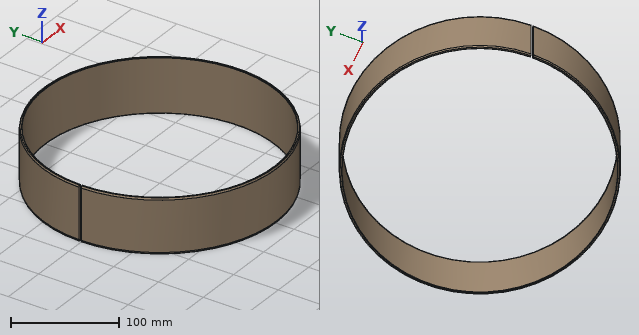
import cadquery as cq

outer_diameter = 260.0
height = 60.0
wall = 2.55

bevel_height = 2.0
bevel_depth = 0.73

inner_chamfer = 0.5

gap_angle = 1.0

outer_radius = outer_diameter / 2
inner_radius = outer_radius - wall
outer_rim_radius = outer_radius - bevel_depth
inner_rim_radius = inner_radius + inner_chamfer
half_height = height / 2
bevel_start = half_height - bevel_height
chamfer_start = half_height - inner_chamfer

wall_section = [
    (-inner_radius, -chamfer_start),
    (-inner_rim_radius, -half_height),
    (-outer_rim_radius, -half_height),
    (-outer_radius, -bevel_start),
    (-outer_radius, bevel_start),
    (-outer_rim_radius, half_height),
    (-inner_rim_radius, half_height),
    (-inner_radius, chamfer_start),
]

sweep_angle = 360 - gap_angle
result = (
    cq.Workplane("XZ")
    .polyline(wall_section)
    .close()
    .revolve(sweep_angle, (0, 0), (0, 1))
)